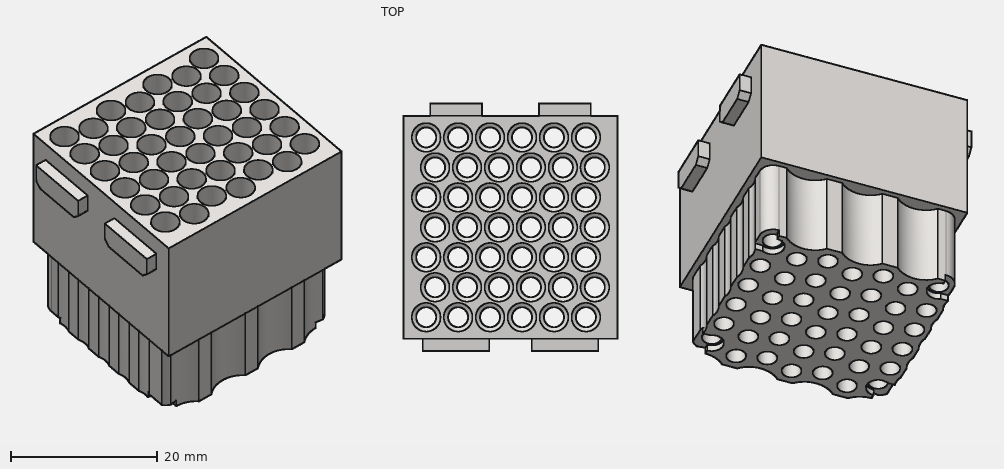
import cadquery as cq
import math

block_x = 29.3
block_y = 30.45
block_height = 20.38

skirt_x = 27.8
skirt_y = 28.7
skirt_height = 12.63
corner_fillet_radius = 2.0
corner_trim_radius = 2.75

row_count = 7
holes_per_row = 6
hole_pitch = 4.35
row_pitch = 4.1
row_shift = 1.22
bore_radius = 1.95
hole_radius = 1.35
shoulder_angle = 120.0

end_groove_width = 2.27
end_groove_depth = 0.25
end_groove_shift = 0.15
side_groove_width = 5.95
side_groove_depth = row_shift

relief_height = 1.0
relief_radius = 1.65
relief_wall_offset = 1.42

tab_thickness = 1.7
tab_height = 3.75
tab_chamfer = 0.88
tab_drop = 2.98
tab_center_x = 7.45
front_tab_width = 9.1
back_tab_width = 7.1

total_height = skirt_height + block_height
row_length = hole_pitch * (holes_per_row - 1)
last_row_y = row_pitch * (row_count - 1) / 2


def row_side(row):
    """-1 for the rows nearer the -X wall, +1 for the rows nearer the +X wall."""
    return -1 if row % 2 == 0 else 1


def row_y(row):
    return row * row_pitch - last_row_y


def hole_x(row, column):
    return row_side(row) * row_shift / 2 - row_length / 2 + column * hole_pitch


def vertical_cylinder(center_x, center_y, radius, height):
    return cq.Workplane("XY").center(center_x, center_y).circle(radius).extrude(height)


def arc_radius(chord, depth):
    """Radius of the arc that spans a chord at a given depth."""
    return ((chord / 2) ** 2 + depth**2) / (2 * depth)


def make_corner_trim(center_x, center_y):
    """What lies outside a cylinder around a corner hole, in the quarter towards that corner."""
    size_x = skirt_x / 2 - center_x
    size_y = skirt_y / 2 - abs(center_y)
    quarter = cq.Workplane("XY").box(size_x, size_y, skirt_height, centered=(False, True, False))
    quarter = quarter.translate((center_x, center_y + math.copysign(size_y / 2, center_y), 0))
    return quarter.cut(vertical_cylinder(center_x, center_y, corner_trim_radius, skirt_height))


def make_skirt():
    skirt = cq.Workplane("XY").box(skirt_x, skirt_y, skirt_height, centered=(True, True, False))
    skirt = skirt.edges("|Z and <X").fillet(corner_fillet_radius)
    for row in (0, row_count - 1):
        skirt = skirt.cut(make_corner_trim(hole_x(row, holes_per_row - 1), row_y(row)))

    side_radius = arc_radius(side_groove_width, side_groove_depth)
    side_offset = skirt_x / 2 - side_groove_depth + side_radius
    for row in range(row_count):
        wall = -row_side(row)
        skirt = skirt.cut(vertical_cylinder(wall * side_offset, row_y(row), side_radius, skirt_height))

    end_radius = arc_radius(end_groove_width, end_groove_depth)
    end_offset = skirt_y / 2 - end_groove_depth + end_radius
    for column in range(holes_per_row - 1):
        groove_x = hole_x(0, column) + hole_pitch / 2 + end_groove_shift
        for wall in (-1, 1):
            skirt = skirt.cut(vertical_cylinder(groove_x, wall * end_offset, end_radius, skirt_height))
    return skirt


def make_tab(center_x, wall, width):
    """A tab on the wall at -Y (wall = -1) or +Y (wall = 1), chamfered at its lower corners."""
    tab_y = wall * (block_y + tab_thickness) / 2
    tab_z = total_height - tab_drop - tab_height / 2
    tab = cq.Workplane("XY").box(width, tab_thickness, tab_height)
    tab = tab.edges("|Y and <Z").chamfer(tab_chamfer)
    return tab.translate((center_x, tab_y, tab_z))


def make_corner_relief(center_x, center_y):
    """A round pocket around a corner hole, opened square towards the skirt's corner."""
    side_x = math.copysign(1, center_x)
    side_y = math.copysign(1, center_y)
    pocket = vertical_cylinder(center_x, center_y, relief_radius, relief_height)
    inner_x = center_x - side_x * relief_wall_offset
    opening_x = block_x / 2 - abs(inner_x)
    opening_y = block_y / 2 - abs(center_y)
    opening = (
        cq.Workplane("XY")
        .center(inner_x + side_x * opening_x / 2, center_y + side_y * opening_y / 2)
        .rect(opening_x, opening_y)
        .extrude(relief_height)
    )
    return pocket.union(opening)


def make_holes():
    """Wide bores whose conical shoulders end level with the underside of the block."""
    shoulder_height = (bore_radius - hole_radius) / math.tan(math.radians(shoulder_angle / 2))
    profile = [
        (0, 0),
        (hole_radius, 0),
        (hole_radius, skirt_height),
        (bore_radius, skirt_height + shoulder_height),
        (bore_radius, total_height),
        (0, total_height),
    ]
    hole = cq.Workplane("XZ").polyline(profile).close().revolve(360, (0, 0), (0, 1)).val()
    holes = []
    for row in range(row_count):
        for column in range(holes_per_row):
            holes.append(hole.translate(cq.Vector(hole_x(row, column), row_y(row), 0)))
    return cq.Workplane(cq.Compound.makeCompound(holes))


block = cq.Workplane("XY").box(block_x, block_y, block_height, centered=(True, True, False))
body = make_skirt().union(block.translate((0, 0, skirt_height)))

for tab_x in (-tab_center_x, tab_center_x):
    body = body.union(make_tab(tab_x, -1, front_tab_width))
    body = body.union(make_tab(tab_x, 1, back_tab_width))

for row in (0, row_count - 1):
    for column in (0, holes_per_row - 1):
        body = body.cut(make_corner_relief(hole_x(row, column), row_y(row)))

result = body.cut(make_holes())